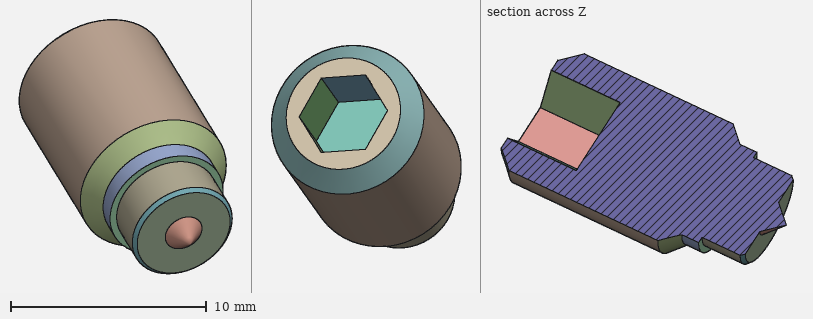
import cadquery as cq
import math

total_length = 15.0

body_radius = 8.0 / 2
body_end = 9.69
socket_end_chamfer = 1.0

collar_radius = 6.2 / 2
collar_end = 11.58
shoulder_chamfer = body_radius - collar_radius
collar_start = body_end + shoulder_chamfer

pin_radius = 5.48 / 2
pin_chamfer = 0.2
tip_length = 1.0
tip_radius = tip_length
pin_end = total_length - tip_length

hex_across_flats = 4.0
hex_across_corners = hex_across_flats / math.cos(math.radians(30))
socket_depth = 4.0


def turned_body():
    """Revolve the half profile, given as (axial position, radius), about X."""
    profile = [
        (0, 0),
        (0, body_radius - socket_end_chamfer),
        (socket_end_chamfer, body_radius),
        (body_end, body_radius),
        (collar_start, collar_radius),
        (collar_end, collar_radius),
        (collar_end, pin_radius),
        (pin_end - pin_chamfer, pin_radius),
        (pin_end, pin_radius - pin_chamfer),
        (pin_end, tip_radius),
        (total_length, 0),
    ]
    return cq.Workplane("XY").polyline(profile).close().revolve(360, (0, 0, 0), (1, 0, 0))


def hex_socket():
    """Hexagonal prism with corners on the Y axis and flats facing Z."""
    return cq.Workplane("YZ").polygon(6, hex_across_corners).extrude(socket_depth)


result = turned_body().cut(hex_socket())